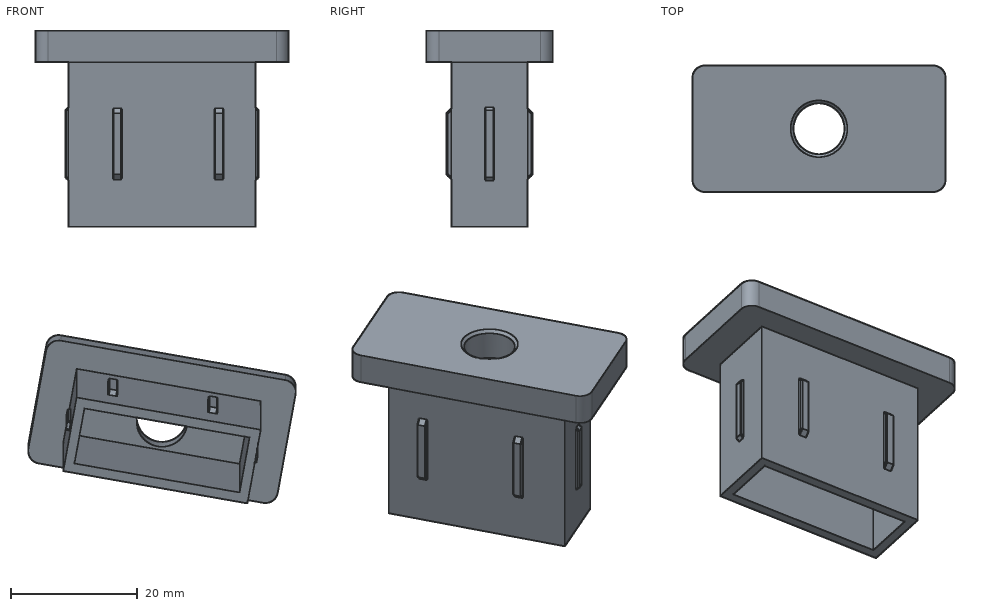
import cadquery as cq

head_length = 40.0
head_width = 20.0
head_thickness = 5.0
head_corner_radius = 2.0

plug_length = 29.5
plug_width = 12.0
plug_height = 26.0
wall_thickness = 1.5

hole_diameter = 8.0
hole_chamfer = 0.5

rib_width = 1.5
rib_edge_chamfer = 0.2
rib_embed = 0.6
rib_center_z = -17.9
long_wall_rib_length = 11.3
long_wall_rib_height = 0.8
long_wall_rib_positions = (-7.05, 9.0)
end_wall_rib_length = 11.6
end_wall_rib_height = 0.5


def make_head():
    """Rounded plate with a chamfered central through hole."""
    plate = cq.Workplane("XY").box(head_length, head_width, head_thickness, centered=(True, True, False))
    plate = plate.translate((0, 0, -head_thickness)).edges("|Z").fillet(head_corner_radius)
    rim_diameter = hole_diameter + 2 * hole_chamfer
    return plate.faces(">Z").workplane().cskHole(hole_diameter, rim_diameter, 90)


def make_plug():
    """Rectangular tube, open at the bottom and closed by the head at the top."""
    return (
        cq.Workplane("XY")
        .workplane(offset=-head_thickness)
        .rect(plug_length, plug_width)
        .rect(plug_length - 2 * wall_thickness, plug_width - 2 * wall_thickness)
        .extrude(-plug_height)
    )


def make_rib(length, height):
    """Rib pointing along +X from a wall at X = 0, with 45 degree ends and chamfered side edges."""
    half_length = length / 2
    return (
        cq.Workplane("XZ")
        .polyline(
            [
                (-rib_embed, -half_length - rib_embed),
                (height, -half_length + height),
                (height, half_length - height),
                (-rib_embed, half_length + rib_embed),
            ]
        )
        .close()
        .extrude(rib_width / 2, both=True)
        .faces("<Y or >Y")
        .edges()
        .chamfer(rib_edge_chamfer)
    )


def add_ribs(body):
    end_rib = make_rib(end_wall_rib_length, end_wall_rib_height)
    end_rib = end_rib.translate((plug_length / 2, 0, rib_center_z))
    body = body.union(end_rib).union(end_rib.mirror("YZ"))

    long_rib = make_rib(long_wall_rib_length, long_wall_rib_height)
    long_rib = long_rib.rotate((0, 0, 0), (0, 0, 1), 90)
    for x in long_wall_rib_positions:
        placed_rib = long_rib.translate((x, plug_width / 2, rib_center_z))
        body = body.union(placed_rib).union(placed_rib.mirror("XZ"))
    return body


result = add_ribs(make_head().union(make_plug()))